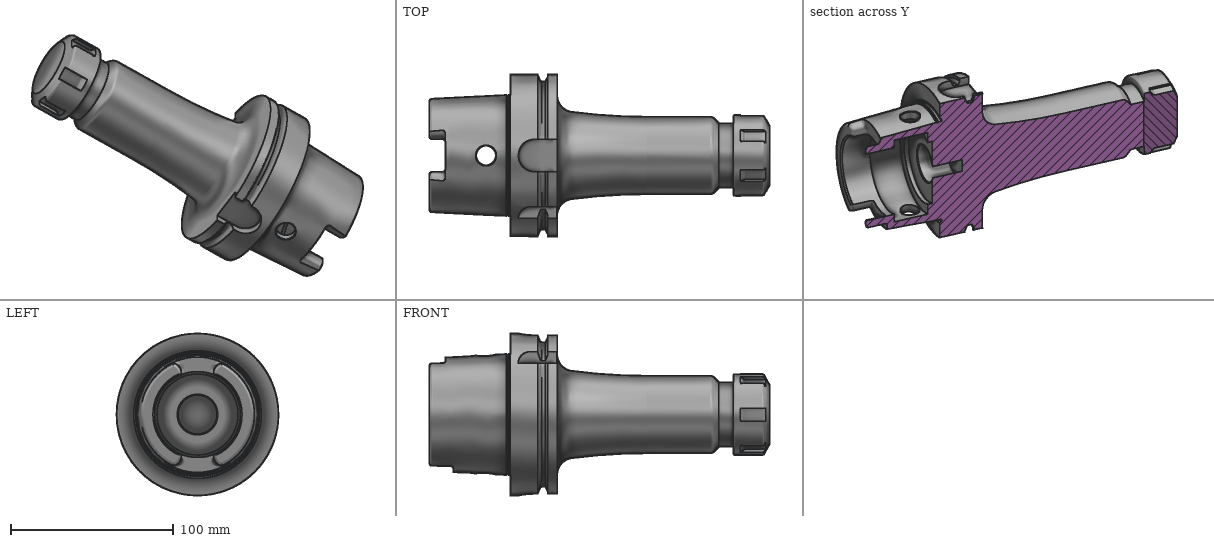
import cadquery as cq
import math


shank_length = 50.0
shank_root_radius = 37.5
taper_slope = 0.05
rim_fillet = 2.0
bore_radius = 26.5
bore_mouth_chamfer = 1.0
bore_depth = 19.5
undercut_radius = 31.5
undercut_end_x = -8.0
bore_floor_radius = 25.0
bore_floor_x = -5.0
thread_radius = 12.0
thread_chamfer = 0.5
thread_depth = 20.0
cross_hole_radius = 6.0
cross_hole_x = -15.0
cross_hole_chamfer = 0.4

relief_start_x = -2.4
relief_end_x = -0.9
relief_depth = 0.5
relief_flank = 0.4
recess_depth = 1.2
recess_floor_radius = 38.2
recess_radius = 39.4

drive_slot_half_width = 10.0
drive_slot_ledge = 31.8
drive_slot_round = 6.0
drive_slot_floor_fillet = 1.7
upper_slot_depth = 9.9
lower_slot_depth = 14.7

flange_radius = 50.0
flange_width = 29.0
groove_start_x = 16.8
groove_end_x = 23.0
groove_floor_radius = 45.8
groove_floor_start_x = 18.6
groove_floor_fillet = 1.0
groove_floor_end_x = 21.6
groove_flank_angle = 60.0
keyway_half_width = 10.0
keyway_start_x = 5.0
keyway_floor = 43.5
notch_wall = 31.5
notch_start_x = 4.7
notch_end_radius = 8.2
notch_web = 0.3

body_radius = 24.0
body_start_x = 84.0
flare_radius = 27.0
flare_end_x = 37.5
root_fillet = 10.0
shoulder_x = 123.1
shoulder_round = 3.8
neck_radius = 20.0

nut_back_x = 137.6
nut_front_x = 160.0
nut_radius = 25.0
nut_face_radius = 18.2
nut_back_fillet = 0.9
nut_cone_start_x = 156.2
nut_front_fillet = 1.5
wrench_slot_count = 6
wrench_slot_width = 8.0
wrench_slot_floor = 22.4
wrench_slot_start_x = 141.7
wrench_slot_ramp_drop = 1.8

pick_margin = 0.1


def revolve_about_x(profile):
    return profile.close().revolve(360, (0, 0, 0), (1, 0, 0))


def holder_blank():
    """Outside of the holder, turned about X, including its solid core."""
    relief_edge_radius = shank_root_radius + taper_slope * relief_start_x
    rim_radius = shank_root_radius - taper_slope * shank_length
    flank_rise = (groove_end_x - groove_floor_end_x) * math.tan(math.radians(groove_flank_angle))

    flare_length = body_start_x - flare_end_x
    flare_rise = flare_radius - body_radius
    flare_arc_radius = (flare_length**2 + flare_rise**2) / (2 * flare_rise)
    flare_angle = math.asin(flare_length / flare_arc_radius)
    flare_mid_x = body_start_x - flare_arc_radius * math.sin(flare_angle / 2)
    flare_mid_radius = body_radius + flare_arc_radius * (1 - math.cos(flare_angle / 2))
    root_center_x = flange_width + root_fillet
    root_center_radius = flare_radius + root_fillet * math.cos(flare_angle)
    root_mid_angle = (math.pi / 2 - flare_angle) / 2
    root_mid_x = root_center_x - root_fillet * math.cos(root_mid_angle)
    root_mid_radius = root_center_radius - root_fillet * math.sin(root_mid_angle)
    cone_angle = math.radians(45)
    cone_start_x = shoulder_x + shoulder_round * math.sin(cone_angle)
    cone_start_radius = body_radius - shoulder_round * (1 - math.cos(cone_angle))
    shoulder_mid_x = shoulder_x + shoulder_round * math.sin(cone_angle / 2)
    shoulder_mid_radius = body_radius - shoulder_round * (1 - math.cos(cone_angle / 2))
    cone_end_x = cone_start_x + cone_start_radius - neck_radius

    profile = (
        cq.Workplane("XY")
        .moveTo(-shank_length, 0)
        .lineTo(-shank_length, rim_radius)
        .lineTo(relief_start_x, relief_edge_radius)
        .lineTo(relief_start_x + relief_flank, shank_root_radius - relief_depth)
        .lineTo(relief_end_x - relief_flank, shank_root_radius - relief_depth)
        .lineTo(relief_end_x, shank_root_radius)
        .lineTo(recess_depth, shank_root_radius)
        .lineTo(recess_depth, recess_floor_radius)
        .lineTo(0, recess_radius)
        .lineTo(0, flange_radius)
        .lineTo(groove_start_x, flange_radius)
        .lineTo(groove_floor_start_x, groove_floor_radius)
        .lineTo(groove_floor_end_x, groove_floor_radius)
        .lineTo(groove_end_x, groove_floor_radius + flank_rise)
        .lineTo(groove_end_x, flange_radius)
        .lineTo(flange_width, flange_radius)
        .lineTo(flange_width, root_center_radius)
        .threePointArc(
            (root_mid_x, root_mid_radius),
            (root_center_x - root_fillet * math.sin(flare_angle), flare_radius),
        )
        .threePointArc((flare_mid_x, flare_mid_radius), (body_start_x, body_radius))
        .lineTo(shoulder_x, body_radius)
        .threePointArc((shoulder_mid_x, shoulder_mid_radius), (cone_start_x, cone_start_radius))
        .lineTo(cone_end_x, neck_radius)
        .lineTo(nut_back_x, neck_radius)
        .lineTo(nut_back_x, 0)
    )
    blank = revolve_about_x(profile)
    floor_corner = cq.selectors.BoxSelector(
        (groove_floor_start_x - pick_margin, -flange_radius, -flange_radius),
        (groove_floor_start_x + pick_margin, flange_radius, flange_radius),
    )
    return blank.edges(floor_corner).fillet(groove_floor_fillet)


def shank_bore():
    """Stepped clamping bore with an undercut and a threaded hole for the coolant tube."""
    undercut_start_x = bore_depth - shank_length
    profile = (
        cq.Workplane("XY")
        .moveTo(-shank_length, 0)
        .lineTo(-shank_length, bore_radius + bore_mouth_chamfer)
        .lineTo(bore_mouth_chamfer - shank_length, bore_radius)
        .lineTo(undercut_start_x, bore_radius)
        .lineTo(undercut_start_x, undercut_radius)
        .lineTo(undercut_end_x, undercut_radius)
        .lineTo(undercut_end_x, bore_floor_radius)
        .lineTo(bore_floor_x, bore_floor_radius)
        .lineTo(bore_floor_x, thread_radius + thread_chamfer)
        .lineTo(bore_floor_x + thread_chamfer, thread_radius)
        .lineTo(bore_floor_x + thread_depth, thread_radius)
        .lineTo(bore_floor_x + thread_depth, 0)
    )
    return revolve_about_x(profile)


def drive_slot(depth):
    """Slot cut into the top of the shank end; its walls round outwards to a level ledge."""
    wall_top = drive_slot_ledge - drive_slot_round
    round_end_y = drive_slot_half_width + drive_slot_round
    arc_inset = drive_slot_round * (1 - math.sqrt(0.5))
    arc_mid = (drive_slot_half_width + arc_inset, drive_slot_ledge - arc_inset)
    slot = (
        cq.Workplane("YZ", origin=(-shank_length, 0, 0))
        .moveTo(-drive_slot_half_width, 0)
        .lineTo(-drive_slot_half_width, wall_top)
        .threePointArc((-arc_mid[0], arc_mid[1]), (-round_end_y, drive_slot_ledge))
        .lineTo(-flange_radius, drive_slot_ledge)
        .lineTo(-flange_radius, flange_radius)
        .lineTo(flange_radius, flange_radius)
        .lineTo(flange_radius, drive_slot_ledge)
        .lineTo(round_end_y, drive_slot_ledge)
        .threePointArc(arc_mid, (drive_slot_half_width, wall_top))
        .lineTo(drive_slot_half_width, 0)
        .close()
        .extrude(depth)
    )
    slot = slot.faces(">X").edges().fillet(drive_slot_floor_fillet)
    block = cq.Workplane("XY").box(
        shank_length, 2 * shank_root_radius, shank_root_radius, centered=(False, True, False)
    )
    block = block.translate((-shank_length, 0, 0))
    mouth_walls = cq.selectors.BoxSelector(
        (-shank_length - pick_margin, -drive_slot_half_width - pick_margin, 0),
        (pick_margin - shank_length, drive_slot_half_width + pick_margin, wall_top),
    )
    rounded = block.cut(slot).faces("<X").edges("|Z").edges(mouth_walls).fillet(rim_fillet)
    return block.cut(rounded)


def flange_keyway():
    """Flat-bottomed keyway with a round end, open towards the nut, on top of the flange."""
    height = flange_radius - keyway_floor
    center_x = keyway_start_x + keyway_half_width
    floor = cq.Workplane("XY", origin=(center_x, 0, keyway_floor))
    straight = floor.center((flange_width - center_x) / 2, 0).rect(
        flange_width - center_x, 2 * keyway_half_width
    )
    return straight.extrude(height).union(floor.circle(keyway_half_width).extrude(height))


def orientation_notch():
    """Square-cornered notch on the -Y, +Z side of the flange with a rounded end."""
    notch_end_x = flange_width - notch_web
    end_center_x = notch_start_x + notch_end_radius
    arc_inset = notch_end_radius * (1 - math.sqrt(0.5))
    return (
        cq.Workplane("XY", origin=(0, 0, notch_wall))
        .moveTo(notch_end_x, -notch_wall)
        .lineTo(end_center_x, -notch_wall)
        .threePointArc(
            (notch_start_x + arc_inset, -notch_wall - arc_inset),
            (notch_start_x, -notch_wall - notch_end_radius),
        )
        .lineTo(notch_start_x, -flange_radius)
        .lineTo(notch_end_x, -flange_radius)
        .close()
        .extrude(flange_radius - notch_wall)
    )


def make_holder():
    x_axis = ((0, 0, 0), (1, 0, 0))
    holder = holder_blank().faces("<X").edges().fillet(rim_fillet)
    holder = holder.cut(drive_slot(upper_slot_depth))
    holder = holder.cut(drive_slot(lower_slot_depth).rotate(*x_axis, 180))
    holder = holder.cut(shank_bore())
    cross_hole = cq.Workplane("XY").center(cross_hole_x, 0).circle(cross_hole_radius)
    holder = holder.cut(cross_hole.extrude(flange_radius, both=True))
    for side in (-1, 1):
        hole_mouth = cq.selectors.NearestToPointSelector((cross_hole_x, 0, side * shank_root_radius))
        holder = holder.edges(hole_mouth).chamfer(cross_hole_chamfer)
    for angle in (0, 180):
        holder = holder.cut(flange_keyway().rotate(*x_axis, angle))
    return holder.cut(orientation_notch())


def wrench_slot():
    """Slot on the -Y side of the nut; its floor curves into a ramp at the back."""
    depth = nut_radius - wrench_slot_floor
    ramp_angle = math.radians(45)
    ramp_end_x = wrench_slot_start_x + wrench_slot_ramp_drop
    arc_radius = (depth - wrench_slot_ramp_drop) / (1 - math.cos(ramp_angle))
    floor_start_x = ramp_end_x + arc_radius * math.sin(ramp_angle)
    arc_mid = (
        floor_start_x - arc_radius * math.sin(ramp_angle / 2),
        -wrench_slot_floor - arc_radius * (1 - math.cos(ramp_angle / 2)),
    )
    return (
        cq.Workplane("XY")
        .moveTo(wrench_slot_start_x, -nut_radius)
        .lineTo(ramp_end_x, wrench_slot_ramp_drop - nut_radius)
        .threePointArc(arc_mid, (floor_start_x, -wrench_slot_floor))
        .lineTo(nut_front_x, -wrench_slot_floor)
        .lineTo(nut_front_x, -nut_radius)
        .close()
        .extrude(wrench_slot_width / 2, both=True)
    )


def make_nut():
    profile = (
        cq.Workplane("XY")
        .moveTo(nut_back_x, 0)
        .lineTo(nut_back_x, nut_radius)
        .lineTo(nut_cone_start_x, nut_radius)
        .lineTo(nut_front_x, nut_face_radius)
        .lineTo(nut_front_x, 0)
    )
    nut = revolve_about_x(profile)
    nut = nut.faces("<X").edges().fillet(nut_back_fillet)
    cone_edge = cq.selectors.NearestToPointSelector((nut_cone_start_x, 0, 0))
    nut = nut.edges(cone_edge).fillet(nut_front_fillet)
    for index in range(wrench_slot_count):
        angle = index * 360 / wrench_slot_count
        nut = nut.cut(wrench_slot().rotate((0, 0, 0), (1, 0, 0), angle))
    return nut


holder = make_holder()
nut = make_nut()
result = cq.Compound.makeCompound([holder.val(), nut.val()])